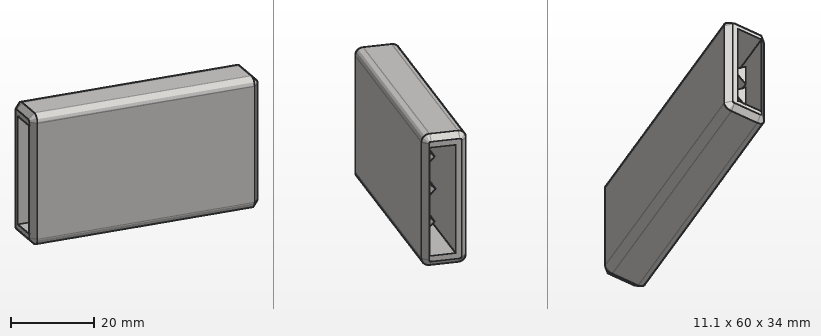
import cadquery as cq

width = 11.1
length = 60.0
height = 34.0
edge_radius = 2.0
end_chamfer = 1.5

wall = 3.0
thin_wall = 1.6
passage_width = width - wall - thin_wall
passage_height = height - 2 * wall
passage_center_x = (wall - thin_wall) / 2
passage_right_x = width / 2 - thin_wall

ridge_pitch = 8.4
middle_ridge_depth = 3.65
outer_ridge_depth = 3.4
ridge_setback = 7.5
ridge_length = length - 2 * ridge_setback
ridge_root = thin_wall / 2


def make_sleeve():
    """Rounded and chamfered block with the passage cut through it."""
    block = cq.Workplane("XY").box(width, length, height)
    block = block.edges("|Y").fillet(edge_radius)
    block = block.faces("<Y or >Y").chamfer(end_chamfer)
    passage = cq.Workplane("XY").box(passage_width, length, passage_height)
    return block.cut(passage.translate((passage_center_x, 0, 0)))


def make_ridge(center_z, depth):
    """Ridge along Y whose base is sunk into the thin wall for a solid joint."""
    root_x = passage_right_x + ridge_root
    outline = [
        (passage_right_x - depth, center_z),
        (passage_right_x, center_z + depth),
        (root_x, center_z + depth),
        (root_x, center_z - depth),
        (passage_right_x, center_z - depth),
    ]
    profile = cq.Workplane("XZ").polyline(outline).close()
    return profile.extrude(ridge_length / 2, both=True)


result = make_sleeve()
for row, ridge_depth in (
    (-1, outer_ridge_depth),
    (0, middle_ridge_depth),
    (1, outer_ridge_depth),
):
    result = result.union(make_ridge(row * ridge_pitch, ridge_depth))